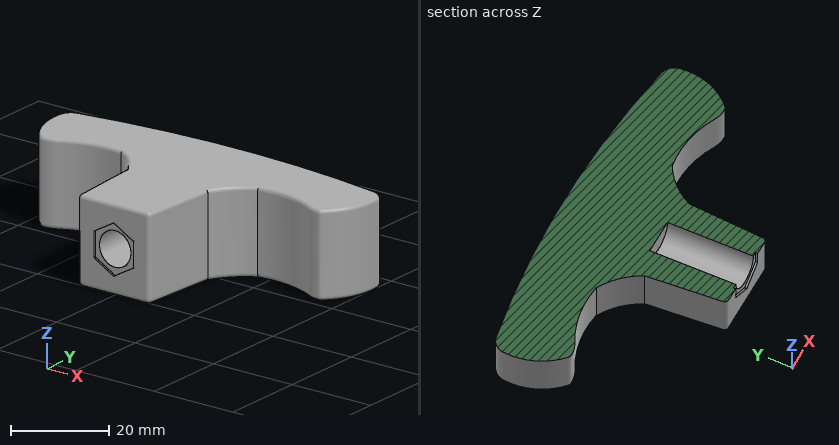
import cadquery as cq
import math

DEPTH = 41.5
HEIGHT = 20.0
EDGE_RADIUS = 1.0

STEM_FOOT = (9.1, 0.0)
STEM_TOP = (10.35, 18.1)
GRIP_JOINT = (17.45, 25.5)
TIP_START = (31.95, 23.15)
TIP_CORNER = (35.6, 22.4)
SHOULDER_CORNER = (40.1, 37.8)

STEM_ROOT_RADIUS = 16.3
FINGER_RADIUS = 22.8
END_RADIUS = 14.6
SHOULDER_RADIUS = 3.5

CROWN_RISE = DEPTH - SHOULDER_CORNER[1]
CROWN_RADIUS = (SHOULDER_CORNER[0] ** 2 + CROWN_RISE**2) / (2 * CROWN_RISE)

SELECT_MARGIN = 0.1

HEX_ACROSS_FLATS = 10.0
HEX_RECESS = 0.5
BORE_DIAMETER = 8.0
BORE_DEPTH = 20.0


def vertical_at(x, y):
    """Selector for the upright outline edge that passes through (x, y)."""
    return cq.selectors.BoxSelector(
        (x - SELECT_MARGIN, y - SELECT_MARGIN, -SELECT_MARGIN),
        (x + SELECT_MARGIN, y + SELECT_MARGIN, SELECT_MARGIN),
    )


def mirrored(point):
    return (-point[0], point[1])


def make_body():
    """T-shaped plate, symmetric about X = 0 and Z = 0, with rounded edges."""
    half = (
        cq.Workplane("XY", origin=(0, 0, -HEIGHT / 2))
        .lineTo(*STEM_FOOT)
        .lineTo(*STEM_TOP)
        .radiusArc(GRIP_JOINT, STEM_ROOT_RADIUS)
        .radiusArc(TIP_START, FINGER_RADIUS)
        .tangentArcPoint(TIP_CORNER, relative=False)
        .radiusArc(SHOULDER_CORNER, -END_RADIUS)
        .radiusArc((0, DEPTH), -CROWN_RADIUS)
        .close()
        .extrude(HEIGHT)
    )
    plate = half.union(half.mirror("YZ")).clean()
    for x, y in (SHOULDER_CORNER, mirrored(SHOULDER_CORNER)):
        plate = plate.edges(vertical_at(x, y)).fillet(SHOULDER_RADIUS)
    rounded_edges = plate.faces("|Z").edges()
    for corner in (TIP_CORNER, STEM_FOOT):
        for x, y in (corner, mirrored(corner)):
            rounded_edges = rounded_edges.add(plate.edges(vertical_at(x, y)))
    return rounded_edges.fillet(EDGE_RADIUS)


def make_insert_cut():
    """Shallow hexagonal recess with a round blind bore, entering the stem foot."""
    foot = cq.Workplane("XZ")
    across_corners = HEX_ACROSS_FLATS / math.cos(math.pi / 6)
    recess = foot.transformed(rotate=(0, 0, 30)).polygon(6, across_corners).extrude(-HEX_RECESS)
    bore = foot.circle(BORE_DIAMETER / 2).extrude(-BORE_DEPTH)
    return recess.union(bore)


body = make_body()
result = body.cut(make_insert_cut())